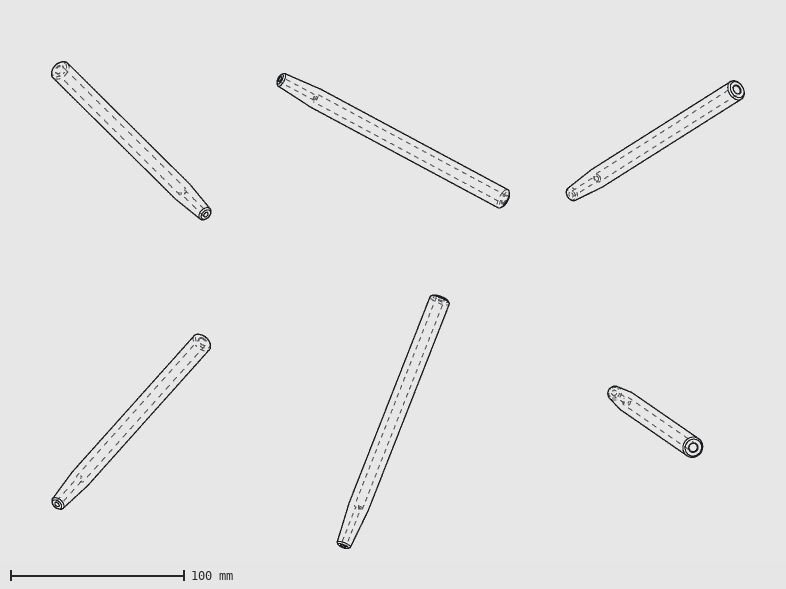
import cadquery as cq
import math

length = 160.0
rod_radius = 12.0 / 2
rear_chamfer = 1.04

nose_length = 25.3
nose_tip_radius = 4.2
tip_chamfer = 1.0

wide_bore_radius = 5.0 / 2
narrow_bore_radius = 3.0 / 2
wide_bore_depth = length - nose_length
drill_point_angle = 118.0
mouth_chamfer = 0.35

rear_x = -length / 2
front_x = length / 2
nose_x = front_x - nose_length
tip_chamfer_x = front_x - tip_chamfer


def make_body():
    profile = (
        cq.Workplane("XY")
        .moveTo(rear_x, 0)
        .lineTo(rear_x, rod_radius - rear_chamfer)
        .lineTo(rear_x + rear_chamfer, rod_radius)
        .lineTo(nose_x, rod_radius)
        .lineTo(tip_chamfer_x, nose_tip_radius)
        .lineTo(front_x, nose_tip_radius - tip_chamfer)
        .lineTo(front_x, 0)
        .close()
    )
    return profile.revolve(360, (0, 0, 0), (1, 0, 0))


def make_bore():
    step_x = rear_x + wide_bore_depth
    cone_length = (wide_bore_radius - narrow_bore_radius) / math.tan(math.radians(drill_point_angle / 2))
    profile = (
        cq.Workplane("XY")
        .moveTo(rear_x, 0)
        .lineTo(rear_x, wide_bore_radius + mouth_chamfer)
        .lineTo(rear_x + mouth_chamfer, wide_bore_radius)
        .lineTo(step_x, wide_bore_radius)
        .lineTo(step_x + cone_length, narrow_bore_radius)
        .lineTo(front_x, narrow_bore_radius)
        .lineTo(front_x, 0)
        .close()
    )
    return profile.revolve(360, (0, 0, 0), (1, 0, 0))


result = make_body().cut(make_bore())